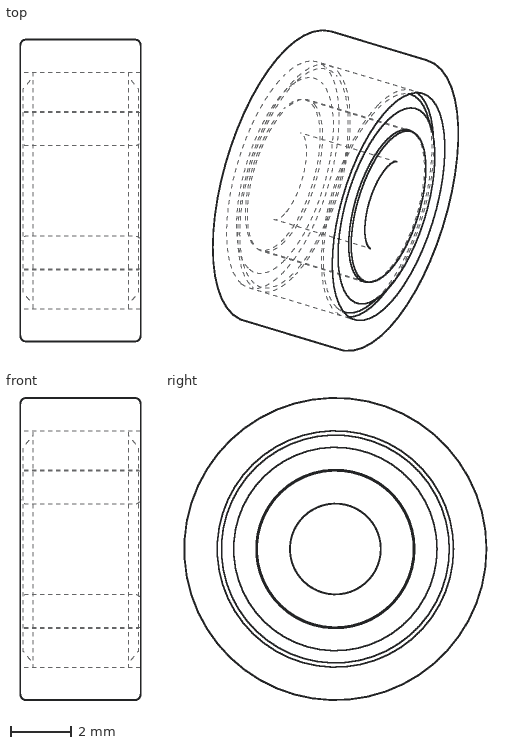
import cadquery as cq

outer_diameter = 10.008
bore_diameter = 2.997
width = 3.988
edge_radius = 0.2

outer_ring_bore_radius = 3.91
inner_ring_outer_radius = 2.595
shield_clearance = 0.025

shield_land_radius = 3.365
shield_bevel_radius = 3.77
shield_land_depth = 0.08
shield_floor_depth = 0.42


def ring(outer_radius, inner_radius):
    """Plain full-width ring about the X axis."""
    return (
        cq.Workplane("YZ", origin=(-width / 2, 0, 0))
        .circle(outer_radius)
        .circle(inner_radius)
        .extrude(width)
    )


def make_outer_ring():
    """Outer ring with rounded outside edges."""
    body = ring(outer_diameter / 2, outer_ring_bore_radius)
    outside_edges = body.faces("<X or >X").edges(cq.selectors.RadiusNthSelector(-1))
    return outside_edges.fillet(edge_radius)


def make_inner_ring():
    """Inner ring with rounded bore edges."""
    body = ring(inner_ring_outer_radius, bore_diameter / 2)
    bore_edges = body.faces("<X or >X").edges(cq.selectors.RadiusNthSelector(0))
    return bore_edges.fillet(edge_radius)


def make_shield():
    """Shield body that fills the space between the rings, clear of the inner ring."""
    shield_bore_radius = inner_ring_outer_radius + shield_clearance
    land_x = width / 2 - shield_land_depth
    floor_x = width / 2 - shield_floor_depth
    profile = (
        cq.Workplane("XY")
        .moveTo(-land_x, shield_bore_radius)
        .lineTo(-land_x, shield_land_radius)
        .lineTo(-floor_x, shield_bevel_radius)
        .lineTo(-floor_x, outer_ring_bore_radius)
        .lineTo(floor_x, outer_ring_bore_radius)
        .lineTo(floor_x, shield_bevel_radius)
        .lineTo(land_x, shield_land_radius)
        .lineTo(land_x, shield_bore_radius)
        .close()
    )
    return profile.revolve(360, (0, 0, 0), (1, 0, 0))


outer_ring = make_outer_ring()
inner_ring = make_inner_ring()
shield = make_shield()

result = cq.Compound.makeCompound([outer_ring.val(), inner_ring.val(), shield.val()])